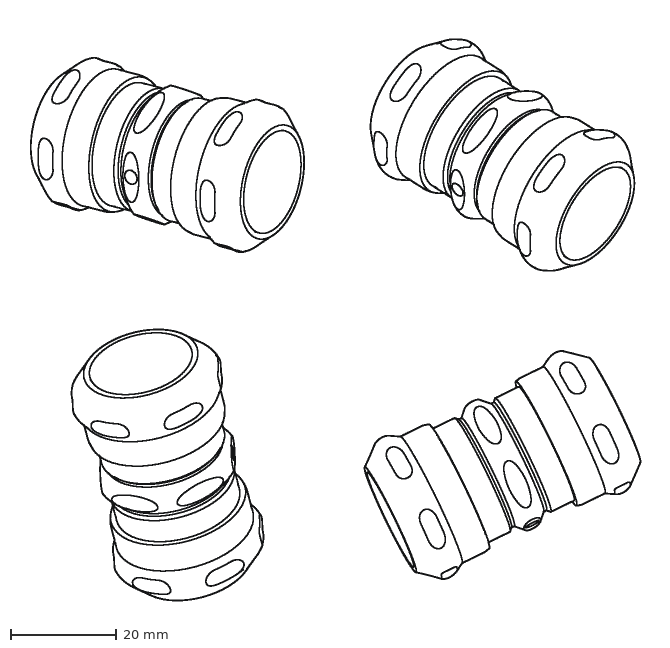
import cadquery as cq
import math

length = 47.5
half_length = length / 2

socket_diameter = 20.0
stop_diameter = 18.0
stop_width = 1.9

mouth_radius = 11.1
nut_crest_x = half_length - 5.35
nut_crest_radius = 14.89
nut_crest_round = 2.45
nut_front_angle = math.radians(40)
nut_back_angle = math.radians(30)
nut_back_x = half_length - 8.6
grip_radius = 14.3
grip_half_angle = math.radians(7.4)
grip_scallop_radius = 7.12

collar_radius = 26.8 / 2
collar_start_x = half_length - 8.85
collar_taper_x = half_length - 13.5
collar_end_x = half_length - 14.5
collar_end_radius = 13.15

body_radius = 24.1 / 2
neck_radius = 22.9 / 2
body_end_x = half_length - 19.45
neck_start_x = body_end_x - (body_radius - neck_radius)

ring_crest_radius = 13.75
ring_crest_round = 2.0
ring_slope = math.radians(45)
ring_flat_distance = 12.75
flat_count = 6

screw_hole_mouth_diameter = 2.8
screw_hole_floor_diameter = 1.2
screw_hole_depth = 2.38

cutter_radius = 19.0


def round_point(crest_x, crest_radius, round_radius, angle):
    """Point on a crest round, at an angle from its top (positive toward +X)."""
    return (
        crest_x + round_radius * math.sin(angle),
        crest_radius - round_radius * (1 - math.cos(angle)),
    )


def polar(radius, angle):
    return (radius * math.cos(angle), radius * math.sin(angle))


def half_body():
    """Revolved +X half, without the bore."""
    ring_tangent = round_point(0, ring_crest_radius, ring_crest_round, ring_slope)
    ring_mid = round_point(0, ring_crest_radius, ring_crest_round, ring_slope / 2)
    ring_foot_x = ring_tangent[0] + (ring_tangent[1] - neck_radius) / math.tan(ring_slope)

    nut_crest = (nut_crest_x, nut_crest_radius)
    nut_back = round_point(*nut_crest, nut_crest_round, -nut_back_angle)
    nut_front = round_point(*nut_crest, nut_crest_round, nut_front_angle)
    nut_foot_radius = nut_back[1] - (nut_back[0] - nut_back_x) * math.tan(nut_back_angle)

    profile = (
        cq.Workplane("XY")
        .lineTo(0, ring_crest_radius)
        .threePointArc(ring_mid, ring_tangent)
        .lineTo(ring_foot_x, neck_radius)
        .lineTo(neck_start_x, neck_radius)
        .lineTo(body_end_x, body_radius)
        .lineTo(collar_end_x, body_radius)
        .lineTo(collar_end_x, collar_end_radius)
        .lineTo(collar_taper_x, collar_radius)
        .lineTo(collar_start_x, collar_radius)
        .lineTo(nut_back_x, nut_foot_radius)
        .lineTo(*nut_back)
        .threePointArc(nut_crest, nut_front)
        .lineTo(half_length, mouth_radius)
        .lineTo(half_length, 0)
        .close()
    )
    return profile.revolve(360, (0, 0, 0), (1, 0, 0))


def grip_cutter():
    """Cutter for one nut grip on the +Y side: a convex land with a concave scallop at each end."""
    land_corner = polar(grip_radius, grip_half_angle)
    scallop_center = polar(grip_radius + grip_scallop_radius, grip_half_angle)

    def scallop_point(turn):
        angle = math.pi + grip_half_angle - turn
        offset = polar(grip_scallop_radius, angle)
        return (scallop_center[0] + offset[0], scallop_center[1] + offset[1])

    scallop_turn = math.radians(50)
    scallop_mid = scallop_point(scallop_turn / 2)
    scallop_end = scallop_point(scallop_turn)

    def mirrored(point):
        return (point[0], -point[1])

    return (
        cq.Workplane("YZ")
        .moveTo(*mirrored(land_corner))
        .threePointArc((grip_radius, 0), land_corner)
        .threePointArc(scallop_mid, scallop_end)
        .lineTo(cutter_radius, scallop_end[1])
        .lineTo(cutter_radius, -scallop_end[1])
        .lineTo(*mirrored(scallop_end))
        .threePointArc(mirrored(scallop_mid), mirrored(land_corner))
        .close()
        .extrude(half_length, both=True)
    )


def ring_flat_cutter():
    """Cutter for one flat of the middle ring, on the +Y side."""
    depth = cutter_radius - ring_flat_distance
    return cq.Workplane("XY").box(2 * neck_start_x, depth, 2 * cutter_radius).translate(
        (0, ring_flat_distance + depth / 2, 0)
    )


def bore():
    socket_depth = half_length - stop_width / 2
    cutter = cq.Workplane("YZ").circle(stop_diameter / 2).extrude(half_length, both=True)
    for end in (-1, 1):
        socket = (
            cq.Workplane("YZ", origin=(end * half_length, 0, 0))
            .circle(socket_diameter / 2)
            .extrude(-end * socket_depth)
        )
        cutter = cutter.union(socket)
    return cutter


def screw_hole():
    cone = cq.Solid.makeCone(
        screw_hole_mouth_diameter / 2,
        screw_hole_floor_diameter / 2,
        screw_hole_depth,
        cq.Vector(0, -ring_flat_distance, 0),
        cq.Vector(0, 1, 0),
    )
    return cq.Workplane(obj=cone)


half = half_body()
result = half.union(half.mirror("YZ"))
for index in range(flat_count):
    turn = index * 360 / flat_count
    for cutter in (grip_cutter(), ring_flat_cutter()):
        result = result.cut(cutter.rotate((0, 0, 0), (1, 0, 0), turn))
result = result.cut(bore()).cut(screw_hole())